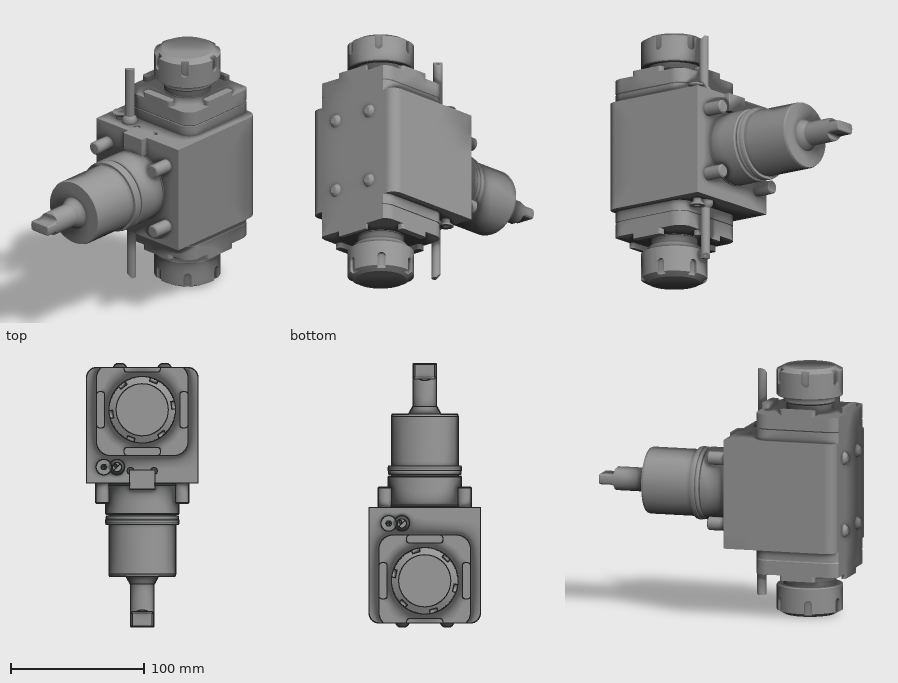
import cadquery as cq
import math


BLOCK_X, BLOCK_Y, BLOCK_Z = 84.0, 86.9, 83.0
BLOCK_BACK_RADIUS = 7.9
HALF_Z = BLOCK_Z / 2

SPINDLE_Y = 55.0
FLANGE_SIDE = 68.7
FLANGE_RADIUS = 10.5
PLATE_TOP = 49.4
COVER_TOP = 61.0
COVER_CHAMFER = 1.0
TAB_LENGTH, TAB_WIDTH, TAB_RADIUS = 27.2, 6.1, 2.4
TAB_TOP = 65.2

SPINDLE_COLLAR_RADIUS, SPINDLE_COLLAR_HEIGHT = 18.4, 0.5
SPINDLE_ROOT_RADIUS = 17.5
SPINDLE_END_RADIUS = 40.0 / 2
SPINDLE_CONE_BOTTOM, SPINDLE_CONE_TOP = 66.1, 67.7

NUT_BOTTOM, NUT_SHOULDER, NUT_TOP = 71.9, 91.5, 94.4
NUT_RADIUS = 50.0 / 2
NUT_FACE_RADIUS = 19.5
NUT_BOTTOM_CHAMFER = 0.5
NUT_SLOTS = 6
NUT_SLOT_WIDTH, NUT_SLOT_LENGTH, NUT_SLOT_DEPTH = 6.0, 13.2, 3.0
UPPER_NUT_TURN, LOWER_NUT_TURN = 8.5, 13.5

COLLAR_RADIUS = 55.0 / 2
NOSE_RADIUS = 50.3 / 2
RELIEF_START, RELIEF_END, RELIEF_DEPTH = 0.8, 1.8, 0.5
COLLAR_END, COLLAR_CHAMFER = 23.7, 0.8
RING_START, RING_END, RING_RADIUS, RING_BULGE = 24.5, 27.6, 54.7 / 2, 0.8
RIB_TAPER_START, RIB_END, RIB_TAPER_DEPTH = 29.6, 31.2, 0.4
NOSE_END, NOSE_CHAMFER_LENGTH, NOSE_CHAMFER_DEPTH = 69.9, 1.5, 0.5
CONE_RADIUS, CONE_END = 12.2, 75.8
SHAFT_RADIUS = 18.0 / 2
SHAFT_END = 107.8
TIP_CHAMFER = 0.5
SHOULDER_END, SHOULDER_CHAMFER = 96.4, 1.2
TANG_THICKNESS, TANG_FILLET, TANG_EDGE_CHAMFER = 7.9, 1.5, 0.5

BOLT_X, BOLT_Z = 30.0, 24.98
BOLT_RADIUS, BOLT_LENGTH, BOLT_CHAMFER = 10.0 / 2, 15.4, 1.0
BUTTON_X, BUTTON_Z = 16.8, 27.6
BUTTON_RADIUS, BUTTON_HEIGHT, BUTTON_CROWN = 10.0 / 2, 2.8, 3.4

KEY_WIDTH, KEY_HEIGHT, KEY_INSET, KEY_OUT = 19.0, 13.8, 9.9, 5.0
KEY_CHAMFER = 0.4
KEY_RELIEF_RADIUS, KEY_RELIEF_SHIFT = 2.5, 0.7

NOZZLE_Y = 12.0
UPPER_NOZZLE_X, LOWER_NOZZLE_X = -19.0, -17.2
BALL_RADIUS, BALL_RISE = 11.6 / 2, 1.0
PIPE_RADIUS, PIPE_END = 7.0 / 2, 85.9
JET_RADIUS, JET_DEPTH = 2.2 / 2, 2.4
SCREW_OFFSET = -9.9
SCREW_NECK_RADIUS, SCREW_HEAD_RADIUS = 6.3 / 2, 11.6 / 2
SCREW_CONE_BOTTOM, SCREW_RIM_BOTTOM, SCREW_TOP = 2.4, 4.64, 5.5
SOCKET_CORNERS, SOCKET_DEPTH, SOCKET_TAPER = 4.5, 2.0, 35

MIRROR_SIDES = (1, -1)


def column(radius, bottom, top, x, y):
    """Upright cylinder between two heights."""
    return cq.Workplane("XY", origin=(x, y, bottom)).circle(radius).extrude(top - bottom)


def turned_upright(points, x, y):
    """Solid turned about a vertical axis, from (radius, height) points starting on the axis."""
    profile = cq.Workplane("XZ", origin=(x, y, 0)).polyline(points).close()
    return profile.revolve(360, (0, 0), (0, 1))


def mirrored_pair(shape):
    return shape.union(shape.mirror("XY"))



def block():
    body = cq.Workplane("XY").box(BLOCK_X, BLOCK_Y, BLOCK_Z).translate((0, BLOCK_Y / 2, 0))
    return body.edges("|Z and >Y").fillet(BLOCK_BACK_RADIUS)


def flange_square(bottom, top):
    plate = cq.Workplane("XY", origin=(0, SPINDLE_Y, bottom)).rect(FLANGE_SIDE, FLANGE_SIDE)
    return plate.extrude(top - bottom).edges("|Z").fillet(FLANGE_RADIUS)


def flange():
    """Upper flange with its four tabs, cut flush with the back of the block."""
    plate = flange_square(HALF_Z, PLATE_TOP)
    cover = flange_square(PLATE_TOP, COVER_TOP).faces("<Z").chamfer(COVER_CHAMFER)
    body = plate.union(cover)
    tab = (
        cq.Workplane("XY", origin=((FLANGE_SIDE - TAB_WIDTH) / 2, SPINDLE_Y, COVER_TOP))
        .rect(TAB_WIDTH, TAB_LENGTH)
        .extrude(TAB_TOP - COVER_TOP)
        .edges("|Z")
        .fillet(TAB_RADIUS)
    )
    for quarter in range(4):
        body = body.union(tab.rotate((0, SPINDLE_Y, 0), (0, SPINDLE_Y, 1), 90 * quarter))
    limit = cq.Workplane("XY").box(BLOCK_X, BLOCK_Y, 2 * NUT_TOP).translate((0, BLOCK_Y / 2, 0))
    return body.intersect(limit)


def spindle_end():
    return turned_upright(
        [
            (0, COVER_TOP),
            (SPINDLE_COLLAR_RADIUS, COVER_TOP),
            (SPINDLE_COLLAR_RADIUS, COVER_TOP + SPINDLE_COLLAR_HEIGHT),
            (SPINDLE_ROOT_RADIUS, COVER_TOP + SPINDLE_COLLAR_HEIGHT),
            (SPINDLE_ROOT_RADIUS, SPINDLE_CONE_BOTTOM),
            (SPINDLE_END_RADIUS, SPINDLE_CONE_TOP),
            (SPINDLE_END_RADIUS, NUT_BOTTOM),
            (0, NUT_BOTTOM),
        ],
        0,
        SPINDLE_Y,
    )


def drive_nose():
    """Collar, seal ring, nose and drive shaft as one turned shape, as (radius, -Y distance)."""
    relief_radius = COLLAR_RADIUS - RELIEF_DEPTH
    ring_edge_radius = RING_RADIUS - RING_BULGE
    ring_middle = (RING_START + RING_END) / 2
    profile = (
        cq.Workplane("XY")
        .lineTo(COLLAR_RADIUS, 0)
        .lineTo(COLLAR_RADIUS, -RELIEF_START)
        .lineTo(relief_radius, -RELIEF_START)
        .lineTo(relief_radius, -RELIEF_END)
        .lineTo(COLLAR_RADIUS, -RELIEF_END)
        .lineTo(COLLAR_RADIUS, COLLAR_CHAMFER - COLLAR_END)
        .lineTo(COLLAR_RADIUS - COLLAR_CHAMFER, -COLLAR_END)
        .lineTo(NOSE_RADIUS, -COLLAR_END)
        .lineTo(NOSE_RADIUS, -RING_START)
        .lineTo(ring_edge_radius, -RING_START)
        .threePointArc((RING_RADIUS, -ring_middle), (ring_edge_radius, -RING_END))
        .lineTo(COLLAR_RADIUS, -RING_END)
        .lineTo(COLLAR_RADIUS, -RIB_TAPER_START)
        .lineTo(COLLAR_RADIUS - RIB_TAPER_DEPTH, -RIB_END)
        .lineTo(NOSE_RADIUS, -RIB_END)
        .lineTo(NOSE_RADIUS, NOSE_CHAMFER_LENGTH - NOSE_END)
        .lineTo(NOSE_RADIUS - NOSE_CHAMFER_DEPTH, -NOSE_END)
        .lineTo(CONE_RADIUS, -NOSE_END)
        .lineTo(SHAFT_RADIUS, -CONE_END)
        .lineTo(SHAFT_RADIUS, -SHAFT_END)
        .lineTo(0, -SHAFT_END)
        .close()
    )
    return profile.revolve(360, (0, 0), (0, 1))


def tang_cut():
    """Material beside the upper tang flat, with a rounded inner corner and a shoulder chamfer."""
    flat = TANG_THICKNESS / 2
    fillet_end = SHOULDER_END + TANG_FILLET
    arc_inset = TANG_FILLET * (1 - math.sqrt(0.5))
    profile = (
        cq.Workplane("YZ", origin=(-SHAFT_RADIUS, 0, 0))
        .moveTo(-SHAFT_END, flat)
        .lineTo(-fillet_end, flat)
        .threePointArc((-SHOULDER_END - arc_inset, flat + arc_inset), (-SHOULDER_END, flat + TANG_FILLET))
        .lineTo(-SHOULDER_END, SHAFT_RADIUS - SHOULDER_CHAMFER)
        .lineTo(SHOULDER_CHAMFER - SHOULDER_END, SHAFT_RADIUS)
        .lineTo(-SHAFT_END, SHAFT_RADIUS)
        .close()
    )
    return profile.extrude(2 * SHAFT_RADIUS)


def tang_edge_cut():
    """45 degree cut along the upper tang edge on the +X side."""
    flat = TANG_THICKNESS / 2
    edge_x = math.sqrt(SHAFT_RADIUS**2 - flat**2)
    length = SHAFT_END - SHOULDER_END - TANG_FILLET
    profile = (
        cq.Workplane("XZ", origin=(0, -SHAFT_END + length, 0))
        .moveTo(edge_x - TANG_EDGE_CHAMFER, flat)
        .lineTo(SHAFT_RADIUS, flat + edge_x - TANG_EDGE_CHAMFER - SHAFT_RADIUS)
        .lineTo(SHAFT_RADIUS, flat)
        .close()
    )
    return profile.extrude(length)


def front_bolts():
    centres = [(x * BOLT_X, z * BOLT_Z) for x in MIRROR_SIDES for z in MIRROR_SIDES]
    bolts = cq.Workplane("XZ").pushPoints(centres).circle(BOLT_RADIUS).extrude(BOLT_LENGTH)
    return bolts.faces("<Y").chamfer(BOLT_CHAMFER)


def button_head(x, z):
    """Domed screw head on the back face: a cap of a ball with a flat top."""
    ball_radius = (BUTTON_RADIUS**2 + BUTTON_CROWN**2) / (2 * BUTTON_CROWN)
    dome = cq.Workplane("XY").sphere(ball_radius).translate((x, BLOCK_Y + BUTTON_CROWN - ball_radius, z))
    blank = cq.Workplane("XZ", origin=(x, BLOCK_Y, z)).circle(BUTTON_RADIUS).extrude(-BUTTON_HEIGHT)
    return blank.intersect(dome)


def countersunk_screw(nozzle_x):
    """Screw standing proud of the upper face beside a nozzle, with a tapering hexagon socket."""
    x = nozzle_x + SCREW_OFFSET
    screw = turned_upright(
        [
            (0, HALF_Z),
            (SCREW_NECK_RADIUS, HALF_Z),
            (SCREW_NECK_RADIUS, HALF_Z + SCREW_CONE_BOTTOM),
            (SCREW_HEAD_RADIUS, HALF_Z + SCREW_RIM_BOTTOM),
            (SCREW_HEAD_RADIUS, HALF_Z + SCREW_TOP),
            (0, HALF_Z + SCREW_TOP),
        ],
        x,
        NOZZLE_Y,
    )
    socket = cq.Workplane("XY", origin=(x, NOZZLE_Y, HALF_Z + SCREW_TOP))
    return screw.cut(socket.polygon(6, SOCKET_CORNERS).extrude(-SOCKET_DEPTH, taper=SOCKET_TAPER))


def key_pocket():
    """Key seat open to the top and front, with round reliefs in its two inner corners."""
    floor = HALF_Z - KEY_HEIGHT
    seat = cq.Workplane("XY", origin=(0, KEY_INSET / 2, floor)).rect(KEY_WIDTH, KEY_INSET).extrude(KEY_HEIGHT)
    for side in MIRROR_SIDES:
        relief_x = side * (KEY_WIDTH / 2 - KEY_RELIEF_SHIFT)
        relief_y = KEY_INSET - KEY_RELIEF_SHIFT
        seat = seat.union(column(KEY_RELIEF_RADIUS, floor, HALF_Z, relief_x, relief_y))
    return seat


def ball(nozzle_x):
    centre = (nozzle_x, NOZZLE_Y, HALF_Z + BALL_RISE)
    return cq.Workplane("XY").sphere(BALL_RADIUS).translate(centre)


def flip(shape):
    """Turn an upper coolant part half a turn about the X direction onto the lower face."""
    return shape.rotate((0, NOZZLE_Y, 0), (1, NOZZLE_Y, 0), 180)


def make_housing():
    body = block().union(mirrored_pair(flange())).union(mirrored_pair(spindle_end()))
    edge_cut = tang_edge_cut()
    edge_cuts = edge_cut.union(edge_cut.mirror("YZ"))
    nose = drive_nose().cut(mirrored_pair(tang_cut())).cut(mirrored_pair(edge_cuts))
    nose = nose.faces("<Y").edges().chamfer(TIP_CHAMFER)
    body = body.union(nose).union(front_bolts())
    for x in MIRROR_SIDES:
        for z in MIRROR_SIDES:
            body = body.union(button_head(x * BUTTON_X, z * BUTTON_Z))
    body = body.union(countersunk_screw(UPPER_NOZZLE_X))
    body = body.union(flip(countersunk_screw(LOWER_NOZZLE_X)))
    body = body.cut(key_pocket())
    return body.cut(ball(UPPER_NOZZLE_X)).cut(flip(ball(LOWER_NOZZLE_X)))



def make_key():
    length = KEY_INSET + KEY_OUT
    key = cq.Workplane("XY").box(KEY_WIDTH, length, KEY_HEIGHT)
    key = key.faces("<Y").edges().chamfer(KEY_CHAMFER)
    return key.translate((0, KEY_INSET - length / 2, HALF_Z - KEY_HEIGHT / 2))


def make_nut(turn):
    """Upper collet nut with spanner slots in its rim; turn is the angle of the first slot."""
    nut = turned_upright(
        [
            (0, NUT_BOTTOM),
            (NUT_RADIUS - NUT_BOTTOM_CHAMFER, NUT_BOTTOM),
            (NUT_RADIUS, NUT_BOTTOM + NUT_BOTTOM_CHAMFER),
            (NUT_RADIUS, NUT_SHOULDER),
            (NUT_FACE_RADIUS, NUT_TOP),
            (0, NUT_TOP),
        ],
        0,
        0,
    )
    half_width = NUT_SLOT_WIDTH / 2
    slot_bottom = NUT_TOP - NUT_SLOT_LENGTH
    slot = (
        cq.Workplane("YZ", origin=(NUT_RADIUS - NUT_SLOT_DEPTH, 0, 0))
        .moveTo(-half_width, NUT_TOP)
        .lineTo(-half_width, slot_bottom + half_width)
        .threePointArc((0, slot_bottom), (half_width, slot_bottom + half_width))
        .lineTo(half_width, NUT_TOP)
        .close()
        .extrude(2 * NUT_SLOT_DEPTH)
    )
    for index in range(NUT_SLOTS):
        nut = nut.cut(slot.rotate((0, 0, 0), (0, 0, 1), turn + index * 360 / NUT_SLOTS))
    return nut.translate((0, SPINDLE_Y, 0))


def make_nozzle(nozzle_x):
    """Upper coolant nozzle: ball, pipe, 45 degree cut on half of its end and a jet hole."""
    pipe = column(PIPE_RADIUS, HALF_Z + BALL_RISE, PIPE_END, nozzle_x, NOZZLE_Y)
    diagonal = math.sqrt(0.5)
    cut_plane = cq.Plane(
        origin=(nozzle_x, NOZZLE_Y, PIPE_END),
        xDir=(1, 1, 0),
        normal=(-diagonal, diagonal, 1),
    )
    size = 4 * PIPE_RADIUS
    pipe = pipe.cut(cq.Workplane(cut_plane).rect(size, size).extrude(size))
    jet = cq.Workplane(cut_plane).center(0, PIPE_RADIUS * diagonal)
    pipe = pipe.cut(jet.circle(JET_RADIUS).extrude(-JET_DEPTH))
    return ball(nozzle_x).union(pipe)


housing = make_housing()
key = make_key()
upper_nut = make_nut(UPPER_NUT_TURN)
lower_nut = make_nut(LOWER_NUT_TURN).mirror("XY")
upper_nozzle = make_nozzle(UPPER_NOZZLE_X)
lower_nozzle = flip(make_nozzle(LOWER_NOZZLE_X))

result = cq.Compound.makeCompound(
    [
        housing.val(),
        key.val(),
        upper_nut.val(),
        lower_nut.val(),
        upper_nozzle.val(),
        lower_nozzle.val(),
    ]
)